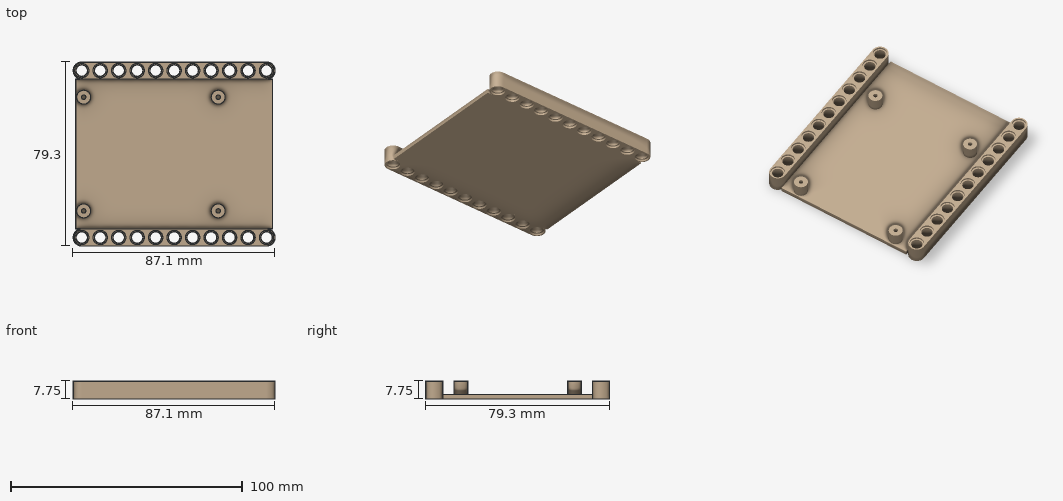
import cadquery as cq

LENGTH = 87.1
BEAM_HEIGHT = 7.75

BEAM_WIDTH = 7.4
BEAM_SPACING = 71.9
HOLE_COUNT = 11
HOLE_DIAMETER = 4.9
RECESS_DIAMETER = 6.2
RECESS_DEPTH = 0.9
HOLE_PITCH = (LENGTH - BEAM_WIDTH) / (HOLE_COUNT - 1)

PLATE_LENGTH = 85.0
PLATE_WIDTH = BEAM_SPACING - BEAM_WIDTH
PLATE_THICKNESS = 2.0

STANDOFF_DIAMETER = 6.0
STANDOFF_HOLE_DIAMETER = 1.9
STANDOFF_HEIGHT = BEAM_HEIGHT - PLATE_THICKNESS
STANDOFF_SPACING_X = 58.0
STANDOFF_SPACING_Y = 49.0
STANDOFF_EDGE_DISTANCE = 3.5


def make_beam(y):
    """Round-ended bar with a row of through holes, each recessed at the top and the bottom."""
    bar = cq.Workplane("XY").slot2D(LENGTH, BEAM_WIDTH).extrude(BEAM_HEIGHT)
    hole_row = cq.Workplane("XY").rarray(HOLE_PITCH, 0.9, HOLE_COUNT, 1)
    holes = hole_row.circle(HOLE_DIAMETER / 2).extrude(BEAM_HEIGHT)
    bottom_recesses = hole_row.circle(RECESS_DIAMETER / 2).extrude(RECESS_DEPTH)
    top_recesses = bottom_recesses.translate((0, 0, BEAM_HEIGHT - RECESS_DEPTH))
    beam = bar.cut(holes).cut(bottom_recesses).cut(top_recesses)
    return beam.translate((0, y, 0))


def make_standoffs():
    """Four tubes on the plate's top face, each with a screw hole down to the plate."""
    pattern_center_x = -PLATE_LENGTH / 2 + STANDOFF_EDGE_DISTANCE + STANDOFF_SPACING_X / 2
    return (
        cq.Workplane("XY", origin=(pattern_center_x, 0, PLATE_THICKNESS))
        .rarray(STANDOFF_SPACING_X, STANDOFF_SPACING_Y, 2, 2)
        .circle(STANDOFF_DIAMETER / 2)
        .circle(STANDOFF_HOLE_DIAMETER / 2)
        .extrude(STANDOFF_HEIGHT)
    )


def make_plate():
    """Flat rectangular plate in one piece with its standoffs."""
    sheet = cq.Workplane("XY").rect(PLATE_LENGTH, PLATE_WIDTH).extrude(PLATE_THICKNESS)
    return sheet.union(make_standoffs())


plate = make_plate()
beams = [make_beam(side * BEAM_SPACING / 2) for side in (-1, 1)]

result = cq.Compound.makeCompound([plate.solids().val(), *[beam.solids().val() for beam in beams]])